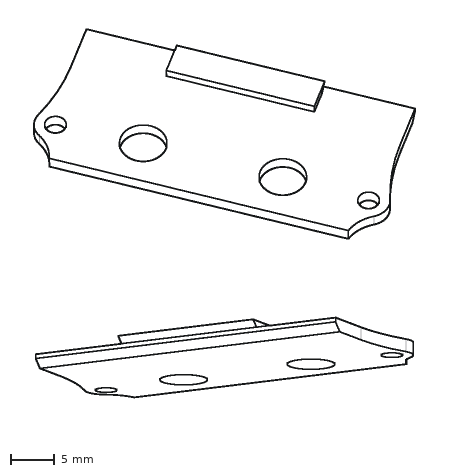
import cadquery as cq
import math

length = 43.1
depth = 20.0
plate_thickness = 1.5
back_width = 40.0
front_width = 36.38
back_chamfer = 1.0

ear_radius = 2.5
ear_hole_diameter = 2.5
ear_x = length / 2 - ear_radius
ear_y = -14.9
straight_side = 5.95
front_blend_radius = 5.0

large_hole_diameter = 5.5
large_hole_spacing = 17.0
large_hole_y = -14.52

tab_length = 18.0
tab_depth = 4.0
tab_height = 1.0


def point_towards(start, end, distance):
    """Point at the given distance from start on the line to end."""
    fraction = distance / math.dist(start, end)
    return tuple(a + fraction * (b - a) for a, b in zip(start, end))


def arc_middle(center, start, end, radius):
    """Middle of the minor arc between two points of a circle."""
    chord_middle = tuple((a + b) / 2 for a, b in zip(start, end))
    return point_towards(center, chord_middle, radius)


def make_half_plate():
    """Plate on the +X side of the symmetry plane, with a square back edge."""
    ear = (ear_x, ear_y)
    side_end = (back_width / 2, -straight_side)
    front_corner = (front_width / 2, -depth)

    offset_x = side_end[0] - ear_x
    offset_y = side_end[1] - ear_y
    side_radius = (offset_x**2 + offset_y**2 - ear_radius**2) / (2 * (ear_radius - offset_x))
    side_center = (side_end[0] + side_radius, side_end[1])
    ear_start = point_towards(ear, side_center, ear_radius)

    center_distance = ear_radius + front_blend_radius
    corner_distance = math.dist(ear, front_corner)
    corner_angle = math.atan2(front_corner[1] - ear_y, front_corner[0] - ear_x)
    cosine = (center_distance**2 + corner_distance**2 - front_blend_radius**2) / (
        2 * center_distance * corner_distance
    )
    front_angle = corner_angle + math.acos(cosine)
    front_center = (
        ear_x + center_distance * math.cos(front_angle),
        ear_y + center_distance * math.sin(front_angle),
    )
    ear_end = point_towards(ear, front_center, ear_radius)

    return (
        cq.Workplane("XY")
        .lineTo(back_width / 2, 0)
        .lineTo(*side_end)
        .threePointArc(arc_middle(side_center, side_end, ear_start, side_radius), ear_start)
        .threePointArc(arc_middle(ear, ear_start, ear_end, ear_radius), ear_end)
        .threePointArc(arc_middle(front_center, ear_end, front_corner, front_blend_radius), front_corner)
        .lineTo(0, -depth)
        .close()
        .extrude(plate_thickness)
    )


def make_plate():
    half = make_half_plate()
    plate = half.union(half.mirror("YZ")).clean()
    plate = plate.faces(">Y").edges("<Z").chamfer(back_chamfer)
    for diameter, x, y in (
        (ear_hole_diameter, ear_x, ear_y),
        (large_hole_diameter, large_hole_spacing / 2, large_hole_y),
    ):
        holes = (
            cq.Workplane("XY")
            .pushPoints([(-x, y), (x, y)])
            .circle(diameter / 2)
            .extrude(plate_thickness)
        )
        plate = plate.cut(holes)
    return plate


def make_tab():
    top = plate_thickness + tab_height
    profile = [
        (-tab_depth, plate_thickness),
        (-tab_height, plate_thickness),
        (0, top),
        (-tab_depth, top),
    ]
    return cq.Workplane("YZ").polyline(profile).close().extrude(tab_length / 2, both=True)


result = make_plate().union(make_tab())